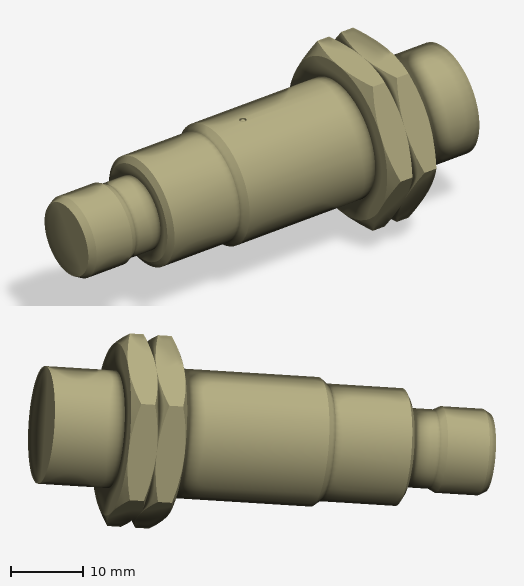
import cadquery as cq

LENGTH = 63.5

CONNECTOR_RADIUS = 6.05
CONNECTOR_END_RADIUS = 5.45
NECK_RADIUS = 5.5
BARREL_RADIUS = 8.2
BARREL_END_RADIUS = 7.25
THREAD_RADIUS = 9.0

CONNECTOR_CHAMFER = 1.0
CONNECTOR_LENGTH = 8.0
BARREL_START = 12.0
BARREL_CHAMFER = 0.6
THREAD_CHAMFER_START = 23.5
THREAD_START = 24.6

INDICATOR_Y = 29.45
INDICATOR_RADIUS = 0.5

NUT_COUNT = 2
NUT_ACROSS_FLATS = 24.0
NUT_THICKNESS = 4.0
NUTS_START = 45.5
NUTS_END = NUTS_START + NUT_COUNT * NUT_THICKNESS
NUT_CORNER_RADIUS = NUT_ACROSS_FLATS / 3**0.5
NUT_FACE_RADIUS = NUT_ACROSS_FLATS / 2
NUT_CHAMFER = 1.0


def revolve_about_y(profile):
    """Revolve a list of (radius, y) points about the Y axis."""
    return cq.Workplane("XY").polyline(profile).close().revolve(360, (0, 0, 0), (0, 1, 0))


def make_indicator_clearance():
    """Space around the indicator: a round hole less the hemisphere standing on its floor."""
    floor_z = THREAD_RADIUS - INDICATOR_RADIUS
    hole = (
        cq.Workplane("XY", origin=(0, INDICATOR_Y, floor_z))
        .circle(INDICATOR_RADIUS)
        .extrude(2 * INDICATOR_RADIUS)
    )
    dome = cq.Workplane("YZ", origin=(0, INDICATOR_Y, floor_z)).sphere(INDICATOR_RADIUS)
    return hole.cut(dome)


def make_housing():
    """Turned housing with its connector, and the domed indicator on top."""
    body = revolve_about_y([
        (0, 0),
        (CONNECTOR_END_RADIUS, 0),
        (CONNECTOR_RADIUS, CONNECTOR_CHAMFER),
        (CONNECTOR_RADIUS, CONNECTOR_LENGTH - CONNECTOR_CHAMFER),
        (NECK_RADIUS, CONNECTOR_LENGTH),
        (NECK_RADIUS, BARREL_START),
        (BARREL_END_RADIUS, BARREL_START),
        (BARREL_RADIUS, BARREL_START + BARREL_CHAMFER),
        (BARREL_RADIUS, THREAD_CHAMFER_START),
        (THREAD_RADIUS, THREAD_START),
        (THREAD_RADIUS, NUTS_END),
        (BARREL_RADIUS, NUTS_END),
        (BARREL_RADIUS, LENGTH),
        (0, LENGTH),
    ])
    return body.cut(make_indicator_clearance())


def make_nut(start):
    """Hexagon nut from Y = start, corners along X, both faces turned conical at the corners."""
    end = start + NUT_THICKNESS
    hexagon = (
        cq.Workplane("XZ", origin=(0, end, 0))
        .polygon(6, 2 * NUT_CORNER_RADIUS)
        .extrude(NUT_THICKNESS)
    )
    turned_blank = revolve_about_y([
        (THREAD_RADIUS, start),
        (NUT_FACE_RADIUS, start),
        (NUT_CORNER_RADIUS, start + NUT_CHAMFER),
        (NUT_CORNER_RADIUS, end - NUT_CHAMFER),
        (NUT_FACE_RADIUS, end),
        (THREAD_RADIUS, end),
    ])
    return hexagon.intersect(turned_blank)


housing = make_housing()
nuts = [make_nut(NUTS_START + i * NUT_THICKNESS) for i in range(NUT_COUNT)]

result = cq.Compound.makeCompound([housing.val(), *[nut.val() for nut in nuts]])